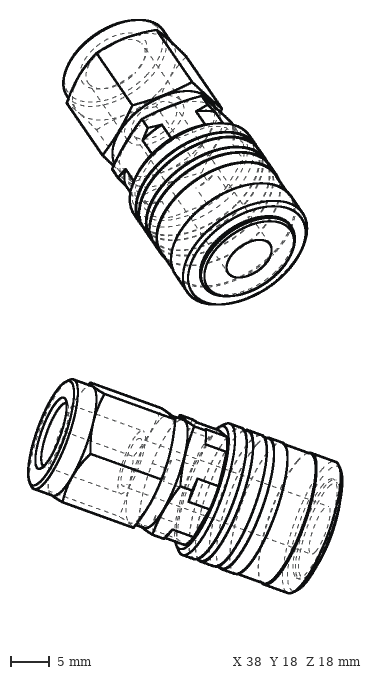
import cadquery as cq
import math

total_length = 38.0
nut_hex_start = 3.0
nut_hex_end = 14.0
body_hex_start = 15.95
body_turned_start = 18.3
sleeve_start = 21.3
sleeve_end = 37.35

across_flats = 15.0
corner_radius = across_flats / math.sqrt(3)
nut_front_chamfer = 0.6
neck_side_chamfer = 0.35
body_turned_radius = 7.9
body_turned_chamfer = 0.35

collar_radius = across_flats / 2
collar_chamfer = 0.38
neck_radius = 7.4
sleeve_radius = 9.0
sleeve_front_chamfer = 0.6
sleeve_back_chamfer = 0.5
lip_radius = 6.8
lip_chamfer = 0.3

groove_depth = 0.1
grooves = [(23.6, 24.5, 0), (26.45, 27.47, 0), (29.37, 33.35, 0.1)]

bore_radius = 4.3
bore_chamfer = 0.57
bore_depth = 11.4
through_radius = 3.25


def revolve_profile(points):
    """Solid of revolution about X from (x, radius) points, closed along the axis."""
    outline = [(points[0][0], 0)] + points + [(points[-1][0], 0)]
    return cq.Workplane("XY").polyline(outline).close().revolve(360, (0, 0, 0), (1, 0, 0))


def cylinder(start, end, radius):
    return cq.Workplane("YZ", origin=(start, 0, 0)).circle(radius).extrude(end - start)


def hexagon(turned_profile):
    """Hexagonal prism trimmed by a turned (x, radius) profile."""
    start = turned_profile[0][0]
    end = turned_profile[-1][0]
    prism = cq.Workplane("YZ", origin=(start, 0, 0)).polygon(6, 2 * corner_radius).extrude(end - start)
    return prism.intersect(revolve_profile(turned_profile))


def make_nut():
    collar = cylinder(0, nut_hex_start, collar_radius).faces("<X").chamfer(collar_chamfer)
    hex_part = hexagon([
        (nut_hex_start, collar_radius),
        (nut_hex_start + nut_front_chamfer, corner_radius),
        (nut_hex_end - neck_side_chamfer, corner_radius),
        (nut_hex_end, neck_radius),
    ])
    return collar.union(hex_part)


def make_body():
    neck = cylinder(nut_hex_end, body_hex_start, neck_radius)
    hex_part = hexagon([
        (body_hex_start, neck_radius),
        (body_hex_start + neck_side_chamfer, corner_radius),
        (body_turned_start - body_turned_chamfer, corner_radius),
        (body_turned_start, body_turned_radius),
        (sleeve_start, body_turned_radius),
    ])
    return neck.union(hex_part)


def make_sleeve():
    groove_radius = sleeve_radius - groove_depth
    profile = [
        (sleeve_start, sleeve_radius - sleeve_front_chamfer),
        (sleeve_start + sleeve_front_chamfer, sleeve_radius),
    ]
    for start, end, end_taper in grooves:
        profile += [
            (start, sleeve_radius),
            (start, groove_radius),
            (end, groove_radius),
            (end + end_taper, sleeve_radius),
        ]
    profile += [
        (sleeve_end - sleeve_back_chamfer, sleeve_radius),
        (sleeve_end, sleeve_radius - sleeve_back_chamfer),
        (sleeve_end, lip_radius),
        (total_length - lip_chamfer, lip_radius),
        (total_length, lip_radius - lip_chamfer),
    ]
    return revolve_profile(profile)


def make_bore():
    return revolve_profile([
        (0, bore_radius + bore_chamfer),
        (bore_chamfer, bore_radius),
        (bore_depth, bore_radius),
        (bore_depth, through_radius),
        (total_length, through_radius),
    ])


result = make_nut().union(make_body()).union(make_sleeve()).cut(make_bore())